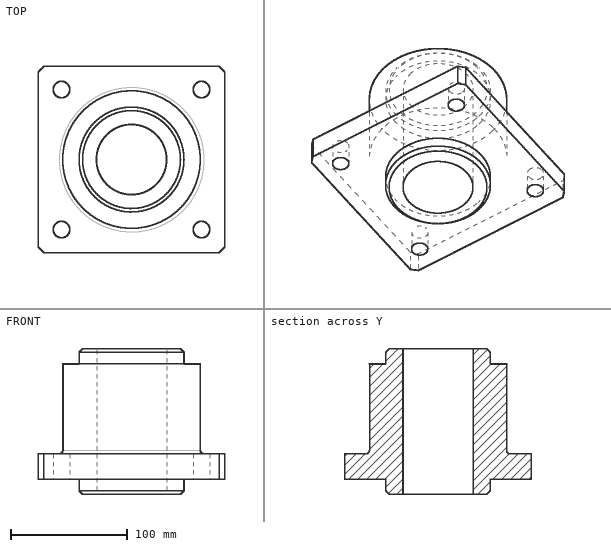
import cadquery as cq

flange_side = 160.0
flange_thickness = 22.0
corner_chamfer = 5.0

bolt_hole_diameter = 14.0
bolt_spacing = 120.0

housing_diameter = 118.0
housing_height = 77.0
root_fillet = 3.0

sleeve_diameter = 90.0
bore_diameter = 60.0
sleeve_projection = 13.0
sleeve_chamfer = 3.0

housing_top = flange_thickness + housing_height
sleeve_length = housing_top + 2 * sleeve_projection


def make_flange():
    """Square plate with its four vertical corners cut at 45 degrees."""
    plate = cq.Workplane("XY").rect(flange_side, flange_side).extrude(flange_thickness)
    return plate.edges("|Z").chamfer(corner_chamfer)


def add_housing(flange):
    """Round housing blended into the flange's upper face."""
    housing = cq.Workplane("XY").circle(housing_diameter / 2).extrude(housing_top)
    body = flange.union(housing)
    flange_top = body.faces(">Z[-2]")
    return flange_top.edges("%CIRCLE").fillet(root_fillet)


def make_sleeve():
    """Solid sleeve blank with both outer rims chamfered."""
    blank = cq.Workplane("XY", origin=(0, 0, -sleeve_projection))
    blank = blank.circle(sleeve_diameter / 2).extrude(sleeve_length)
    return blank.faces("<Z or >Z").edges().chamfer(sleeve_chamfer)


def make_bore():
    """Cutter for the bore along the full length of the sleeve."""
    start = cq.Workplane("XY", origin=(0, 0, -sleeve_projection))
    return start.circle(bore_diameter / 2).extrude(sleeve_length)


def make_bolt_holes():
    """Cutters for the four bolt holes, one near each flange corner."""
    centres = cq.Workplane("XY").rect(bolt_spacing, bolt_spacing, forConstruction=True).vertices()
    return centres.circle(bolt_hole_diameter / 2).extrude(flange_thickness)


body = add_housing(make_flange())
result = body.union(make_sleeve()).cut(make_bore()).cut(make_bolt_holes())